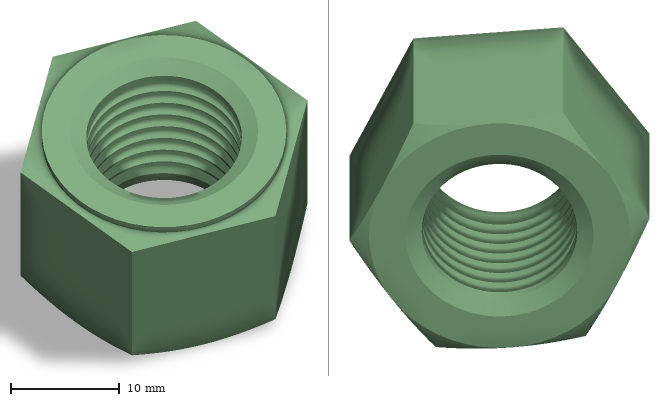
import cadquery as cq
import math

corner_diameter = 27.7
across_flats = corner_diameter * math.cos(math.radians(30))
total_height = 17.2
collar_diameter = 22.5
collar_height = 0.78
hex_height = total_height - collar_height
corner_chamfer_angle = 30.0

bore_radius = 14.33 / 2
countersink_radius = 17.3 / 2
countersink_depth = (countersink_radius - bore_radius) * math.tan(math.radians(30))

groove_count = 8
groove_pitch = 1.75
top_groove_center_depth = 2.38
groove_width = 1.47
groove_depth = groove_width / 2 / math.tan(math.radians(30))


def make_hexagon_body():
    """Hexagonal prism whose lower corners are trimmed by a cone."""
    hexagon = cq.Workplane("XY").polygon(6, corner_diameter).extrude(hex_height)
    base_radius = across_flats / 2
    corner_radius = corner_diameter / 2
    chamfer_height = (corner_radius - base_radius) * math.tan(math.radians(corner_chamfer_angle))
    outer_radius = 2 * corner_radius - base_radius
    trim_envelope = (
        cq.Workplane("XZ")
        .moveTo(0, 0)
        .lineTo(base_radius, 0)
        .lineTo(outer_radius, 2 * chamfer_height)
        .lineTo(outer_radius, hex_height)
        .lineTo(0, hex_height)
        .close()
        .revolve(360, (0, 0, 0), (0, 1, 0))
    )
    return hexagon.intersect(trim_envelope)


def make_collar():
    return cq.Workplane("XY").workplane(offset=hex_height).circle(collar_diameter / 2).extrude(collar_height)


def make_threaded_bore():
    """Solid to be removed: countersunk bore with evenly spaced V rings."""
    profile = (
        cq.Workplane("XZ")
        .moveTo(0, 0)
        .lineTo(countersink_radius, 0)
        .lineTo(bore_radius, countersink_depth)
    )
    lowest_groove_center = total_height - top_groove_center_depth - (groove_count - 1) * groove_pitch
    for index in range(groove_count):
        center = lowest_groove_center + index * groove_pitch
        profile = (
            profile.lineTo(bore_radius, center - groove_width / 2)
            .lineTo(bore_radius + groove_depth, center)
            .lineTo(bore_radius, center + groove_width / 2)
        )
    profile = (
        profile.lineTo(bore_radius, total_height - countersink_depth)
        .lineTo(countersink_radius, total_height)
        .lineTo(0, total_height)
        .close()
    )
    return profile.revolve(360, (0, 0, 0), (0, 1, 0))


result = make_hexagon_body().union(make_collar()).cut(make_threaded_bore())